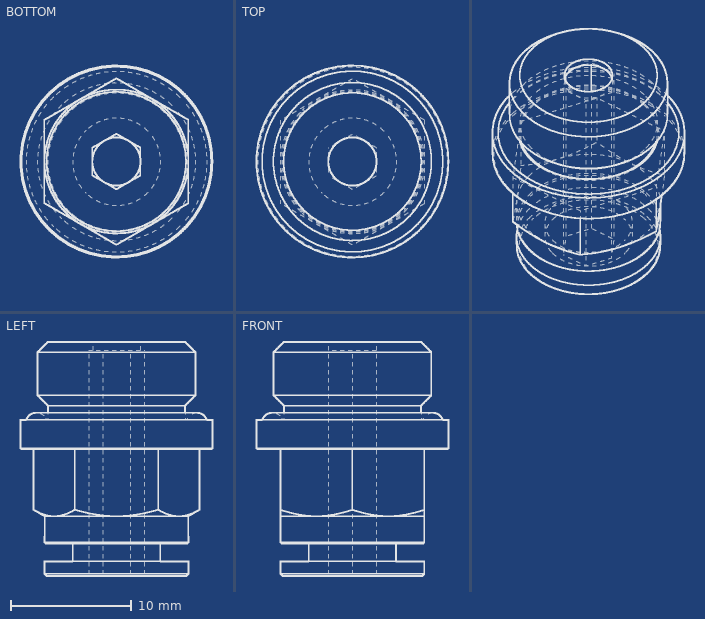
import cadquery as cq
import math

TOTAL_HEIGHT = 19.5
RELEASE_RING_TOP = 1.23
SLEEVE_BOTTOM = 2.71
HEX_BOTTOM = 5.0
FLANGE_BOTTOM = 10.55
FLANGE_TOP = 13.0
SEAL_TOP = 13.61

THREAD_DIAMETER = 13.16
THREAD_ROOT_DIAMETER = 11.45
THREAD_CHAMFER = (THREAD_DIAMETER - THREAD_ROOT_DIAMETER) / 2
THREAD_BOTTOM = 14.2

FLANGE_DIAMETER = 16.0
SEAL_DIAMETER = 15.05
SEAL_SECTION_RADIUS = 0.9

HEX_ACROSS_FLATS = 12.0
SLEEVE_DIAMETER = HEX_ACROSS_FLATS
RELEASE_NECK_DIAMETER = 7.3
HEX_CHAMFER_ANGLE = 30.0
EDGE_CHAMFER = 0.12
RELEASE_RING_CHAMFER = 0.2

BORE_DIAMETER = 4.0
BORE_MOUTH_DEPTH = 0.68


def cylinder(diameter, bottom, top):
    return cq.Workplane("XY").workplane(offset=bottom).circle(diameter / 2).extrude(top - bottom)


def hexagon(across_flats, bottom, top):
    """Hexagonal prism with flats facing +X and -X."""
    across_corners = across_flats / math.cos(math.radians(30))
    prism = cq.Workplane("XY").polygon(6, across_corners).extrude(top - bottom)
    return prism.rotate((0, 0, 0), (0, 0, 1), 30).translate((0, 0, bottom))


def threaded_end():
    thread = cylinder(THREAD_DIAMETER, THREAD_BOTTOM, TOTAL_HEIGHT).edges().chamfer(THREAD_CHAMFER)
    return thread.union(cylinder(THREAD_ROOT_DIAMETER, FLANGE_TOP, THREAD_BOTTOM))


def flange_with_seal():
    flange = cylinder(FLANGE_DIAMETER, FLANGE_BOTTOM, FLANGE_TOP).faces("<Z").chamfer(EDGE_CHAMFER)
    center_level = SEAL_TOP - SEAL_SECTION_RADIUS
    half_width = math.sqrt(SEAL_SECTION_RADIUS**2 - (FLANGE_TOP - center_level) ** 2)
    center_radius = SEAL_DIAMETER / 2 - half_width
    torus = cq.Solid.makeTorus(center_radius, SEAL_SECTION_RADIUS, cq.Vector(0, 0, center_level))
    seal = cq.Workplane("XY").add(torus)
    return flange.union(seal)


def chamfered_hexagon():
    prism = hexagon(HEX_ACROSS_FLATS, HEX_BOTTOM, FLANGE_BOTTOM)
    height = FLANGE_BOTTOM - HEX_BOTTOM
    start_radius = HEX_ACROSS_FLATS / 2
    end_radius = start_radius + height / math.tan(math.radians(HEX_CHAMFER_ANGLE))
    cone = cq.Solid.makeCone(start_radius, end_radius, height, cq.Vector(0, 0, HEX_BOTTOM))
    return prism.intersect(cq.Workplane("XY").add(cone))


def tube_end():
    sleeve = cylinder(SLEEVE_DIAMETER, SLEEVE_BOTTOM, HEX_BOTTOM).faces("<Z").chamfer(EDGE_CHAMFER)
    neck = cylinder(RELEASE_NECK_DIAMETER, RELEASE_RING_TOP, SLEEVE_BOTTOM)
    ring = cylinder(SLEEVE_DIAMETER, 0, RELEASE_RING_TOP).faces("<Z").chamfer(RELEASE_RING_CHAMFER)
    return sleeve.union(neck).union(ring)


def bore():
    mouth_bottom = TOTAL_HEIGHT - BORE_MOUTH_DEPTH
    mouth = cylinder(BORE_DIAMETER, mouth_bottom, TOTAL_HEIGHT)
    return mouth.union(hexagon(BORE_DIAMETER, 0, mouth_bottom))


body = threaded_end().union(flange_with_seal()).union(chamfered_hexagon()).union(tube_end())
result = body.cut(bore())